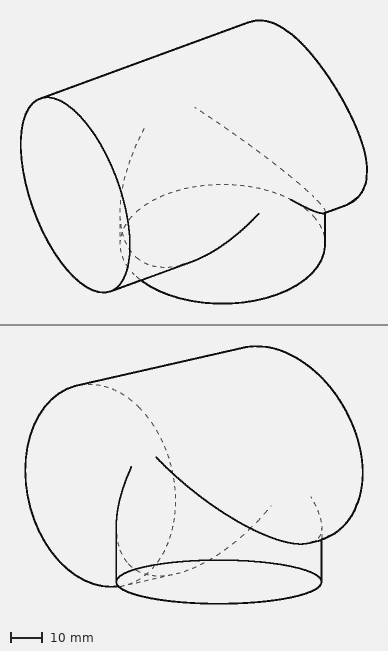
import cadquery as cq
import math

diameter = 65.0
overall_length = 97.5
overall_height = 72.5
front_length = 55.0
cap_tilt = 15.0
cap_fillet = 8.0

radius = diameter / 2
branch_length = overall_height - radius
front_y = -front_length
rear_y = front_y + overall_length

lower_turn = math.radians(90 + cap_tilt)
lower_corner_y = rear_y - cap_fillet + cap_fillet * math.tan(lower_turn / 2)
upper_corner_y = lower_corner_y - diameter * math.tan(math.radians(cap_tilt))


def make_barrel():
    """Horizontal cylinder along Y with a slanted, rounded rear end."""
    cylinder = (
        cq.Workplane("XZ", origin=(0, front_y, 0))
        .circle(radius)
        .extrude(-(lower_corner_y - front_y))
    )
    side_profile = (
        cq.Workplane("YZ")
        .polyline([
            (front_y, -radius),
            (lower_corner_y, -radius),
            (upper_corner_y, radius),
            (front_y, radius),
        ])
        .close()
        .extrude(radius, both=True)
    )
    return cylinder.intersect(side_profile).faces(">Y").edges().fillet(cap_fillet)


def make_branch():
    """Vertical cylinder from the barrel axis down to the base."""
    return cq.Workplane("XY").circle(radius).extrude(-branch_length)


result = make_barrel().union(make_branch())